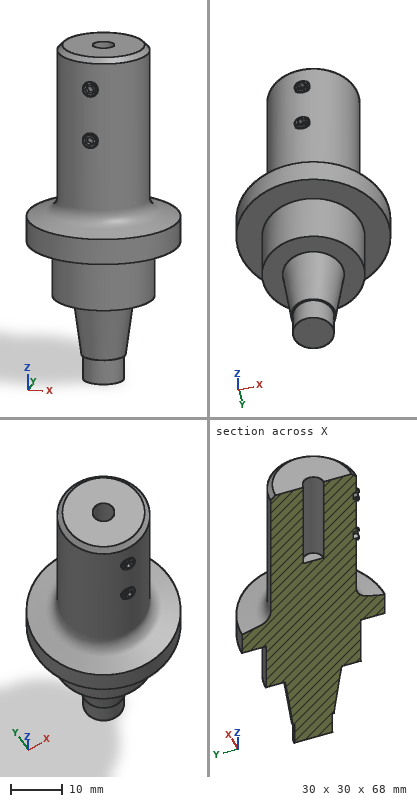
import cadquery as cq
import math

PIN_DIAMETER = 8.0
TAPER_SMALL_DIAMETER = 8.7
TAPER_LARGE_DIAMETER = 12.0
SHOULDER_DIAMETER = 20.0
FLANGE_DIAMETER = 30.0
SHANK_DIAMETER = 18.0

PIN_TOP = 5.0
TAPER_TOP = 17.0
SHOULDER_TOP = 28.0
FLANGE_RIM_TOP = 33.1
OVERALL_HEIGHT = 68.0

FLANGE_SLOPE = math.radians(15)
SHANK_FILLET = 3.0
SHANK_CHAMFER = 1.0

BORE_DIAMETER = 4.2
BORE_DEPTH = 20.4

SCREWS = [(61.75, 0), (51.3, 30)]
SCREW_DIAMETER = 3.0
SCREW_PROTRUSION = 0.6
SCREW_LENGTH = 4.1
SCREW_CHAMFER = 0.3
SOCKET_WIDTH = 1.5
SOCKET_DEPTH = 1.2


def make_body():
    """Revolve the stepped profile, with the fillet tangent to shank and sloped flange."""
    shank_radius = SHANK_DIAMETER / 2
    flange_radius = FLANGE_DIAMETER / 2
    center_radius = shank_radius + SHANK_FILLET
    fillet_end_radius = center_radius - SHANK_FILLET * math.sin(FLANGE_SLOPE)
    fillet_end_height = FLANGE_RIM_TOP + (flange_radius - fillet_end_radius) * math.tan(FLANGE_SLOPE)
    fillet_top = fillet_end_height + SHANK_FILLET * math.cos(FLANGE_SLOPE)
    middle_angle = (math.pi / 2 - FLANGE_SLOPE) / 2
    fillet_middle = (
        center_radius - SHANK_FILLET * math.cos(middle_angle),
        fillet_top - SHANK_FILLET * math.sin(middle_angle),
    )
    return (
        cq.Workplane("XZ")
        .moveTo(0, 0)
        .lineTo(PIN_DIAMETER / 2, 0)
        .lineTo(PIN_DIAMETER / 2, PIN_TOP)
        .lineTo(TAPER_SMALL_DIAMETER / 2, PIN_TOP)
        .lineTo(TAPER_LARGE_DIAMETER / 2, TAPER_TOP)
        .lineTo(SHOULDER_DIAMETER / 2, TAPER_TOP)
        .lineTo(SHOULDER_DIAMETER / 2, SHOULDER_TOP)
        .lineTo(flange_radius, SHOULDER_TOP)
        .lineTo(flange_radius, FLANGE_RIM_TOP)
        .lineTo(fillet_end_radius, fillet_end_height)
        .threePointArc(fillet_middle, (shank_radius, fillet_top))
        .lineTo(shank_radius, OVERALL_HEIGHT - SHANK_CHAMFER)
        .lineTo(shank_radius - SHANK_CHAMFER, OVERALL_HEIGHT)
        .lineTo(0, OVERALL_HEIGHT)
        .close()
        .revolve(360, (0, 0, 0), (0, 1, 0))
    )


def make_bore():
    return (
        cq.Workplane("XY", origin=(0, 0, OVERALL_HEIGHT))
        .circle(BORE_DIAMETER / 2)
        .extrude(-BORE_DEPTH)
    )


def screw_face_plane(height):
    """Plane of the outer screw face, with its normal pointing outward along -Y."""
    return cq.Workplane("XZ", origin=(0, -SHANK_DIAMETER / 2 - SCREW_PROTRUSION, height))


def make_screw(height):
    return (
        screw_face_plane(height)
        .circle(SCREW_DIAMETER / 2)
        .extrude(-SCREW_LENGTH)
        .faces("<Y")
        .chamfer(SCREW_CHAMFER)
    )


def make_socket(height, rotation):
    """Hexagonal recess in the outer screw face."""
    corner_diameter = SOCKET_WIDTH / math.cos(math.pi / 6)
    return (
        screw_face_plane(height)
        .transformed(rotate=(0, 0, rotation))
        .polygon(6, corner_diameter)
        .extrude(-SOCKET_DEPTH)
    )


result = make_body().cut(make_bore())
for screw_height, socket_rotation in SCREWS:
    result = result.union(make_screw(screw_height))
    result = result.cut(make_socket(screw_height, socket_rotation))